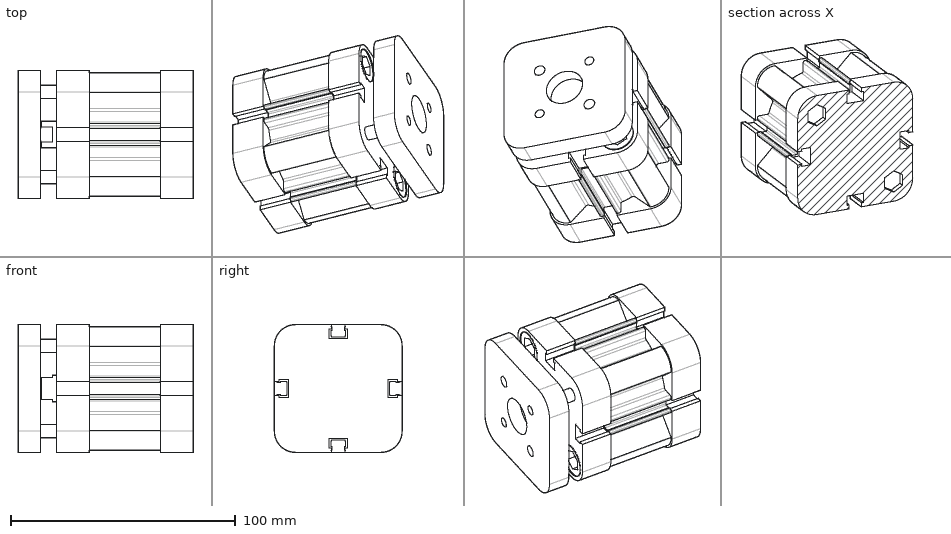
import cadquery as cq
import math

PLATE_LENGTH = 10.0
GAP = 7.0
CAP_LENGTH = 14.7
TOTAL_LENGTH = 78.0
PLATE_BACK = PLATE_LENGTH
FRONT_CAP_X = PLATE_BACK + GAP
PROFILE_X = FRONT_CAP_X + CAP_LENGTH
REAR_CAP_X = TOTAL_LENGTH - CAP_LENGTH
PROFILE_LENGTH = REAR_CAP_X - PROFILE_X

WIDTH = 57.0
HALF = WIDTH / 2
CORNER_RADIUS = 9.5
CORNER = HALF - CORNER_RADIUS

PLATE_BORE_DIAMETER = 17.0
PLATE_BORE_DEPTH = 6.5
BOLT_CIRCLE_RADIUS = 16.5
BOLT_OFFSET = BOLT_CIRCLE_RADIUS / math.sqrt(2)
TAPPED_HOLE_DIAMETER = 4.2
DOWEL_HOLE_DIAMETER = 5.0

GUIDE_DIAMETER = 6.0
PISTON_DIAMETER = 12.0
PISTON_CHAMFER = 0.3
FLAT_WIDTH = 10.0
FLAT_LENGTH = 5.3

CAP_MOUTH_WIDTH = 6.1
CAP_LIP_HEIGHT = 2.1
CAP_SLOT_WIDTH = 8.0
CAP_SLOT_FLOOR = 22.2

BARREL_RADIUS = 22.5
LOBE_RADIUS = 8.5
LOBE_OUTER = CORNER + LOBE_RADIUS
LOBE_EDGE = 18.7
FLANK_OFFSET = LOBE_OUTER - LOBE_EDGE
RAIL_OUTER = 27.5
PROFILE_MOUTH_HALF_WIDTH = 2.7
PROFILE_SLOT_FLOOR = 22.85
PROFILE_SLOT_HALF_WIDTH = 3.1
PROFILE_LIP_HEIGHT = 1.7
SLOT_FLOOR_FILLET = 0.55
RAIL_HALF_WIDTH = 4.9
VALLEY_FILLET = 1.2
RAIL_ROOT_FILLET = 1.0
RAIL_OUTER_FILLET = 1.0
RAIL_INNER_FILLET = 0.6

SCREW_RECESS_DIAMETER = 15.0
SCREW_RECESS_DEPTH = 0.5
HEX_WIDTH = 8.6
HEX_DEPTH = 5.45


def section(x):
    """Workplane facing +X at the given x, with local axes along Y and Z."""
    return cq.Workplane("YZ", origin=(x, 0, 0))


def square_block(x, length):
    block = section(x).rect(WIDTH, WIDTH).extrude(length)
    return block.edges("|X").fillet(CORNER_RADIUS)


def four_around(shape):
    """The shape repeated at quarter turns about the X axis."""
    turned = shape
    for quarter in range(1, 4):
        turned = turned.union(shape.rotate((0, 0, 0), (1, 0, 0), 90 * quarter))
    return turned


def side_box(x, length, width, inner, outer):
    """Box on the +Z side, between two distances from the X axis."""
    return section(x).center(0, (inner + outer) / 2).rect(width, outer - inner).extrude(length)


def make_cap(x):
    """End cap with an undercut T-slot along the middle of each side."""
    mouth = side_box(x, CAP_LENGTH, CAP_MOUTH_WIDTH, CAP_SLOT_FLOOR, HALF)
    undercut = side_box(x, CAP_LENGTH, CAP_SLOT_WIDTH, CAP_SLOT_FLOOR, HALF - CAP_LIP_HEIGHT)
    return square_block(x, CAP_LENGTH).cut(four_around(mouth.union(undercut)))


def make_lobe():
    """Corner lobe of the profile: a round nose between two 45 degree flanks."""
    nose = CORNER + LOBE_RADIUS / math.sqrt(2)
    return (
        section(PROFILE_X)
        .moveTo(0, 0)
        .lineTo(FLANK_OFFSET, 0)
        .lineTo(LOBE_OUTER, LOBE_EDGE)
        .lineTo(LOBE_OUTER, CORNER)
        .threePointArc((nose, nose), (CORNER, LOBE_OUTER))
        .lineTo(LOBE_EDGE, LOBE_OUTER)
        .lineTo(0, FLANK_OFFSET)
        .close()
        .extrude(PROFILE_LENGTH)
    )


def fillet_long_edges(solid, outward, sideways, radius):
    """Round the X-direction edges at the given outward and sideways distances on all four sides."""
    tolerance = 0.01

    def matches(edge):
        near, far = sorted((abs(edge.Center().y), abs(edge.Center().z)))
        return abs(near - sideways) < tolerance and abs(far - outward) < tolerance

    return solid.newObject(solid.edges("|X").filter(matches).vals()).fillet(radius)


def make_profile():
    """Barrel with four corner lobes and a slotted rail on each side."""
    barrel = section(PROFILE_X).circle(BARREL_RADIUS).extrude(PROFILE_LENGTH)
    rail = side_box(PROFILE_X, PROFILE_LENGTH, 2 * RAIL_HALF_WIDTH, 0, RAIL_OUTER)
    profile = barrel.union(four_around(make_lobe())).union(four_around(rail))

    lip_inner = RAIL_OUTER - PROFILE_LIP_HEIGHT
    mouth = side_box(PROFILE_X, PROFILE_LENGTH, 2 * PROFILE_MOUTH_HALF_WIDTH, lip_inner, HALF)
    slot_width = 2 * PROFILE_SLOT_HALF_WIDTH
    undercut = side_box(PROFILE_X, PROFILE_LENGTH, slot_width, PROFILE_SLOT_FLOOR, lip_inner)
    undercut = undercut.edges("|X and <Z").fillet(SLOT_FLOOR_FILLET)
    profile = profile.cut(four_around(mouth.union(undercut)))

    valley = (math.sqrt(2 * BARREL_RADIUS**2 - FLANK_OFFSET**2) - FLANK_OFFSET) / 2
    rail_root = math.sqrt(BARREL_RADIUS**2 - RAIL_HALF_WIDTH**2)
    profile = fillet_long_edges(profile, valley + FLANK_OFFSET, valley, VALLEY_FILLET)
    profile = fillet_long_edges(profile, rail_root, RAIL_HALF_WIDTH, RAIL_ROOT_FILLET)
    profile = fillet_long_edges(profile, RAIL_OUTER, RAIL_HALF_WIDTH, RAIL_OUTER_FILLET)
    return fillet_long_edges(profile, RAIL_OUTER, PROFILE_MOUTH_HALF_WIDTH, RAIL_INNER_FILLET)


def make_screw_pocket(side):
    """Recess and hexagon socket of a cap screw on the diagonal Y = Z."""
    axis = section(FRONT_CAP_X).center(side * CORNER, side * CORNER)
    recess = axis.circle(SCREW_RECESS_DIAMETER / 2).extrude(SCREW_RECESS_DEPTH)
    socket = (
        axis.transformed(rotate=(0, 0, 30))
        .polygon(6, HEX_WIDTH / math.cos(math.pi / 6))
        .extrude(HEX_DEPTH)
    )
    return recess.union(socket)


def make_housing():
    """Both caps and the profile between them, in one piece."""
    housing = make_cap(FRONT_CAP_X).union(make_profile()).union(make_cap(REAR_CAP_X))
    for side in (-1, 1):
        housing = housing.cut(make_screw_pocket(side))
    return housing


def make_plate():
    """Yoke plate with a blind center bore, two dowel holes and two tapped holes."""
    plate = square_block(0, PLATE_LENGTH)
    bore = section(0).circle(PLATE_BORE_DIAMETER / 2).extrude(PLATE_BORE_DEPTH)
    plate = plate.cut(bore)
    for side in (-1, 1):
        y = side * BOLT_OFFSET
        dowel_hole = section(0).center(y, y).circle(DOWEL_HOLE_DIAMETER / 2).extrude(PLATE_LENGTH)
        tapped_hole = section(0).center(y, -y).circle(TAPPED_HOLE_DIAMETER / 2).extrude(PLATE_LENGTH)
        plate = plate.cut(dowel_hole).cut(tapped_hole)
    return plate


def make_piston_rod():
    """Round rod with a chamfered end and two wrench flats facing up and down."""
    rod = section(PLATE_BACK).circle(PISTON_DIAMETER / 2).extrude(GAP)
    rod = rod.faces("<X").chamfer(PISTON_CHAMFER)
    between_flats = section(PLATE_BACK).rect(PISTON_DIAMETER, FLAT_WIDTH).extrude(FLAT_LENGTH)
    round_part = section(PLATE_BACK + FLAT_LENGTH)
    shank = round_part.rect(PISTON_DIAMETER, PISTON_DIAMETER).extrude(GAP - FLAT_LENGTH)
    return rod.intersect(between_flats.union(shank))


def make_guide_rod(y, z):
    return section(PLATE_BACK).center(y, z).circle(GUIDE_DIAMETER / 2).extrude(GAP)


plate = make_plate()
piston_rod = make_piston_rod()
housing = make_housing()
guide_rods = [make_guide_rod(side * CORNER, -side * CORNER) for side in (-1, 1)]

result = cq.Compound.makeCompound(
    [plate.val(), piston_rod.val(), housing.val(), *[rod.val() for rod in guide_rods]]
)